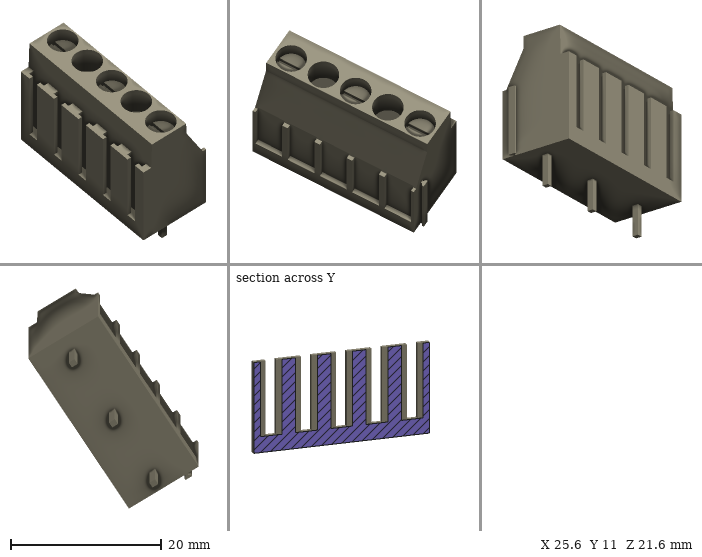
import cadquery as cq


pitch = 5.0
position_count = 5
position_centres = [(index + 0.5) * pitch for index in range(position_count)]
fitted_centres = position_centres[::2]

housing_length = position_count * pitch
housing_depth = 11.0
housing_height = 17.12
front_ledge_height = 12.8
front_wall_foot = 1.35
front_wall_top = 1.5
back_ledge_height = 10.0
back_ledge_depth = 0.6
slope_top_height = 15.25
back_wall_foot = 7.55
back_wall_top = 7.5

slot_floor_height = 2.3
slot_mouth_width = 1.5
slot_mouth_depth = 0.6
slot_inner_width = 3.0

recess_width = 4.15
recess_depth = 0.7
recess_floor_height = slot_floor_height

rib_projection = 0.65
rib_height = 9.92
rib_centre = 9.0
rib_width = 1.0
rib_neck_width = 0.4
rib_neck_length = 0.15
rib_flange_thickness = 0.25

screw_axis = 5.2
screw_hole_diameter = 4.2
screw_hole_depth = 4.0
screw_diameter = 4.0
screw_recess = 1.9
screw_height = screw_hole_depth - screw_recess
driver_slot_width = 0.6
driver_slot_depth = 0.6

pin_width = 0.8
pin_thickness = 0.9
pin_axis = 5.5
pin_length = 4.5


def make_profile_block():
    outline = [
        (0, 0),
        (housing_depth, 0),
        (housing_depth, back_ledge_height),
        (housing_depth - back_ledge_depth, back_ledge_height),
        (back_wall_foot, slope_top_height),
        (back_wall_top, housing_height),
        (front_wall_top, housing_height),
        (front_wall_foot, front_ledge_height),
        (0, front_ledge_height),
    ]
    return cq.Workplane("YZ").polyline(outline).close().extrude(housing_length)


def make_dovetail_rib():
    neck_end = -rib_neck_length
    flange_start = rib_flange_thickness - rib_projection
    half_outline = [
        (0, rib_neck_width / 2),
        (neck_end, rib_neck_width / 2),
        (flange_start, rib_width / 2),
        (-rib_projection, rib_width / 2),
    ]
    mirrored_outline = [(x, -y) for x, y in reversed(half_outline)]
    return (
        cq.Workplane("XY")
        .center(0, rib_centre)
        .polyline(half_outline + mirrored_outline)
        .close()
        .extrude(rib_height)
    )


def make_marker_slot(centre):
    slot_height = front_ledge_height - slot_floor_height
    mouth = (
        cq.Workplane("XY", origin=(centre, 0, slot_floor_height))
        .box(slot_mouth_width, slot_mouth_depth, slot_height, centered=(True, False, False))
    )
    inner = (
        cq.Workplane("XY", origin=(centre, slot_mouth_depth, slot_floor_height))
        .box(slot_inner_width, front_wall_foot - slot_mouth_depth, slot_height, centered=(True, False, False))
    )
    return mouth.union(inner)


def make_wire_recess(centre):
    recess_height = housing_height - recess_floor_height
    return (
        cq.Workplane("XY", origin=(centre, housing_depth - recess_depth, recess_floor_height))
        .box(recess_width, recess_depth, recess_height, centered=(True, False, False))
    )


def make_screw_hole(centre):
    return (
        cq.Workplane("XY", origin=(centre, screw_axis, housing_height - screw_hole_depth))
        .circle(screw_hole_diameter / 2)
        .extrude(screw_hole_depth)
    )


def make_housing():
    body = make_profile_block().union(make_dovetail_rib())
    for centre in position_centres:
        body = body.cut(make_marker_slot(centre))
        body = body.cut(make_wire_recess(centre))
        body = body.cut(make_screw_hole(centre))
    return body


def make_screw(centre):
    """Slotted screw head standing on the floor of its hole."""
    head = (
        cq.Workplane("XY", origin=(centre, screw_axis, housing_height - screw_hole_depth))
        .circle(screw_diameter / 2)
        .extrude(screw_height)
    )
    driver_slot = (
        cq.Workplane("XY", origin=(centre, screw_axis, housing_height - screw_recess - driver_slot_depth))
        .box(screw_diameter, driver_slot_width, driver_slot_depth, centered=(True, True, False))
    )
    return head.cut(driver_slot)


def make_pin(centre):
    """Solder pin hanging from the underside of the housing."""
    return (
        cq.Workplane("XY", origin=(centre, pin_axis, -pin_length))
        .box(pin_width, pin_thickness, pin_length, centered=(True, True, False))
    )


housing = make_housing()
screws = [make_screw(centre) for centre in fitted_centres]
pins = [make_pin(centre) for centre in fitted_centres]

result = cq.Compound.makeCompound(
    [housing.val()]
    + [screw.val() for screw in screws]
    + [pin.val() for pin in pins]
)